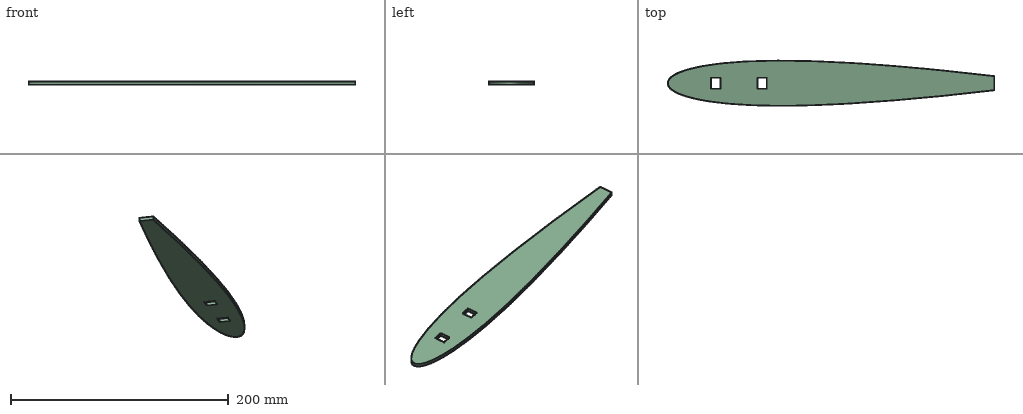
import cadquery as cq
import math

length = 300.0
plate_thickness = 3.3
max_width = 41.7
thickness_ratio = 0.12
chord = max_width / thickness_ratio
nose_x = -length / 2
section_steps = 24

hole_length = 8.5
hole_width = 10.0
first_hole_from_nose = 44.0
hole_spacing = 42.5


def half_width(distance):
    """Half width of the section at a distance behind the nose."""
    t = distance / chord
    return 5 * max_width * (
        0.2969 * math.sqrt(t) - 0.126 * t - 0.3516 * t**2 + 0.2843 * t**3 - 0.1015 * t**4
    )


def edge_points(side):
    """Points from nose to tail on one side, closer together at the round nose."""
    distances = [length * (step / section_steps) ** 2 for step in range(section_steps + 1)]
    return [(nose_x + d, side * half_width(d)) for d in distances]


upper_edge = edge_points(1)
lower_edge = edge_points(-1)

blade = (
    cq.Workplane("XY")
    .moveTo(*upper_edge[-1])
    .spline(upper_edge[-2::-1] + lower_edge[1:], includeCurrent=True)
    .close()
    .extrude(plate_thickness)
)

first_hole_x = nose_x + first_hole_from_nose
hole_cutter = (
    cq.Workplane("XY")
    .pushPoints([(first_hole_x, 0), (first_hole_x + hole_spacing, 0)])
    .rect(hole_length, hole_width)
    .extrude(plate_thickness)
)

result = blade.cut(hole_cutter)